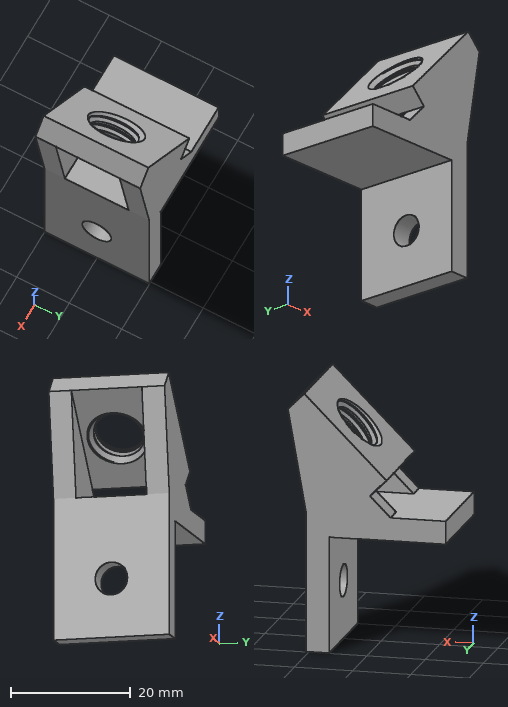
import cadquery as cq
import math

overall_length = 27.1
overall_height = 44.5
width = 20.0
thickness = 4.0
wall_x = 20.0
plate_length = 20.0
rib_toe = 5.0
rib_width = 3.9
plate_angle = 45.0

mounting_hole_diameter = 5.5
bore_diameter = 8.35
countersink_diameter = 10.25
countersink_depth = 0.95

thread_diameter = 10.0
thread_pitch = 1.5
thread_turns = 5
thread_start = -1.05
thread_start_angle = 130.0
groove_mouth_ratio = 0.75
groove_tip_ratio = 0.12
thread_overlap = 0.15

slope_x = math.cos(math.radians(plate_angle))
slope_z = math.sin(math.radians(plate_angle))


def step(point, along, inward):
    """Move a profile point along the slope and into the plate."""
    return (
        point[0] + along * slope_x + inward * slope_z,
        point[1] + along * slope_z - inward * slope_x,
    )


def extrude_profile(points, y_start, depth):
    """Extrude an XZ outline towards +Y."""
    return (
        cq.Workplane("XZ", origin=(0, y_start, 0))
        .polyline(points)
        .close()
        .extrude(-depth)
    )


wall_back = wall_x + thickness
rise = (rib_toe + plate_length) * slope_z + thickness * slope_x
shelf_top = overall_height - rise
shelf_bottom = shelf_top - thickness
run = (rib_toe + plate_length) * slope_x
rib_foot = (overall_length - run, shelf_top)
plate_low_back = step(rib_foot, rib_toe, 0)
plate_low_front = step(plate_low_back, 0, -thickness)
plate_high_front = step(plate_low_front, plate_length, 0)
plate_high_back = step(plate_low_back, plate_length, 0)

bracket = extrude_profile(
    [
        (0, shelf_bottom),
        (wall_x, shelf_bottom),
        (wall_x, 0),
        (wall_back, 0),
        (wall_back, shelf_top),
        (0, shelf_top),
    ],
    0,
    width,
)

plate = extrude_profile(
    [plate_low_back, plate_low_front, plate_high_front, plate_high_back], 0, width
)

rib_outline = [rib_foot, plate_high_back, (wall_back, shelf_top)]
body = bracket.union(plate)
for rib_y in (0, width - rib_width):
    body = body.union(extrude_profile(rib_outline, rib_y, rib_width))

mounting_hole = (
    cq.Workplane("YZ", origin=(wall_x, width / 2, shelf_bottom / 2))
    .circle(mounting_hole_diameter / 2)
    .extrude(thickness)
)
body = body.cut(mounting_hole)


def plain_bore():
    """Cutter along +Z: bore through the plate, countersunk at both faces."""
    bore_radius = bore_diameter / 2
    countersink_radius = countersink_diameter / 2
    return (
        cq.Workplane("XZ")
        .polyline(
            [
                (0, 0),
                (countersink_radius, 0),
                (bore_radius, countersink_depth),
                (bore_radius, thickness - countersink_depth),
                (countersink_radius, thickness),
                (0, thickness),
            ]
        )
        .close()
        .revolve(360, (0, 0, 0), (0, 1, 0))
    )


def thread_groove():
    """Cutter along +Z: right-hand helical groove running past both plate faces."""
    bore_radius = bore_diameter / 2
    tip_radius = thread_diameter / 2
    tip = thread_pitch * groove_tip_ratio / 2
    mouth = thread_pitch * groove_mouth_ratio / 2
    flank_slope = (mouth - tip) / (tip_radius - bore_radius)
    inner_radius = bore_radius - thread_overlap
    inner = mouth + thread_overlap * flank_slope
    section = [(inner_radius, -inner), (inner_radius, inner), (tip_radius, tip), (tip_radius, -tip)]
    length = thread_turns * thread_pitch

    edges = [
        cq.Wire.makeHelix(thread_pitch, length, radius).moved(cq.Location(cq.Vector(0, 0, z)))
        for radius, z in section
    ]
    faces = [
        cq.Face.makeRuledSurface(edge, edges[index - 1]) for index, edge in enumerate(edges)
    ]
    for end in (0, length):
        corners = [cq.Vector(radius, 0, z + end) for radius, z in section]
        faces.append(cq.Face.makeFromWires(cq.Wire.makePolygon(corners, close=True)))
    groove = cq.Solid.makeSolid(cq.Shell.makeShell(faces)).fix()
    return (
        cq.Workplane(groove)
        .translate((0, 0, thread_start))
        .rotate((0, 0, 0), (0, 0, 1), thread_start_angle)
    )


face_centre = step(plate_low_front, plate_length / 2, 0)
bore_plane = cq.Plane(
    origin=(face_centre[0], width / 2, face_centre[1]),
    xDir=(0, 1, 0),
    normal=(slope_z, 0, -slope_x),
)
bore_location = cq.Location(bore_plane)
for cutter in (thread_groove(), plain_bore()):
    body = body.cut(cq.Workplane(cutter.val().moved(bore_location)))

result = body